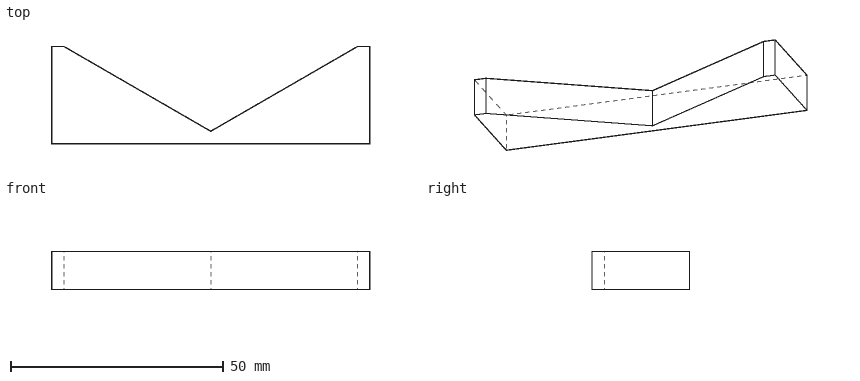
import cadquery as cq
import math

length = 75.0
width = 23.0
thickness = 9.0

web = 3.0
flank_angle = 30.0

notch_depth = width - web
notch_half_width = notch_depth / math.tan(math.radians(flank_angle))


def make_block():
    """Rectangular block centred on the XY origin, resting on Z = 0."""
    return cq.Workplane("XY").box(length, width, thickness, centered=(True, True, False))


def make_notch():
    """Triangular prism that removes the V through the full thickness."""
    open_side = width / 2
    root = open_side - notch_depth
    return (
        cq.Workplane("XY")
        .moveTo(-notch_half_width, open_side)
        .lineTo(0, root)
        .lineTo(notch_half_width, open_side)
        .close()
        .extrude(thickness)
    )


result = make_block().cut(make_notch())